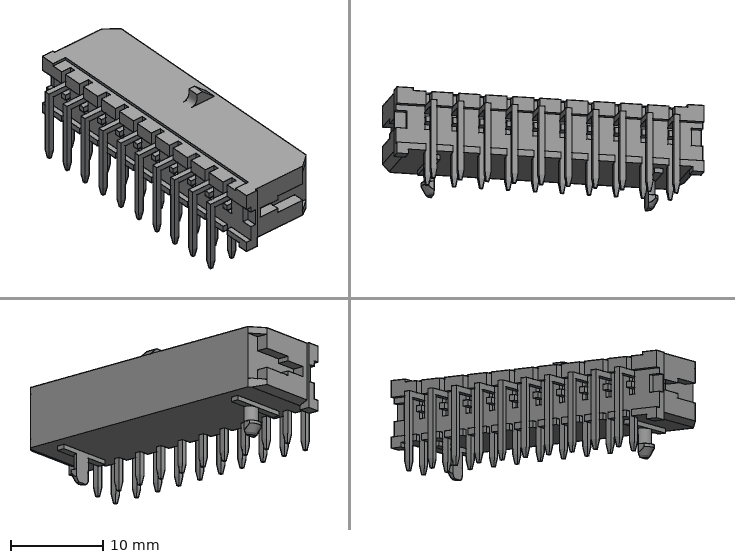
import cadquery as cq


flange_length = 34.15
flange_depth = 1.55
shell_length = 33.6
housing_depth = 9.87
shell_bottom = 0.5
housing_top = 7.45
corner_width = 1.33
corner_depth = 1.65
bottom_chamfer_height = 0.4
bottom_chamfer_width = 1.05

web_face = 0.6
top_bar_bottom = 5.6
bottom_bar_top = 1.23
rear_ledge_length = 30.53
rear_ledge_depth = 1.78
rear_ledge_drop = 0.3

foot_inner_x = 15.8
rail_front = 8.45

recess_depth = corner_width
recess_mid_z = 4.0
mouth_bottom, mouth_top = 1.55, 6.7
wide_slot_height, wide_slot_end = 2.2, 4.7
narrow_slot_height, narrow_slot_end = 1.15, 2.22
window_height = 1.95

pin_columns = 10
pin_span = 27.0
pin_size = 0.65
pin_tip_size = 0.3
pin_taper_top = -2.12
pin_bottom = -3.15
outer_pin_rear = -2.35
stub_bottom = 3.72

latch_width = 1.35
latch_top = 8.8
ramp_foot_y, ramp_top_y = 9.35, 7.72
latch_back_y = 6.9
latch_fillet = 0.75

peg_flat_x = 11.92
peg_axis_x = 11.85
peg_y = 5.33
peg_radius = 1.0
barb_radius = 1.3
barb_nose_radius, barb_nose_z = 0.82, -2.95
barb_tip_radius = 0.6
barb_top = -1.7
barb_taper_top = -2.05

pin_pitch = pin_span / (pin_columns - 1)
pin_positions = [-pin_span / 2 + i * pin_pitch for i in range(pin_columns)]
inner_pin_front = web_face + pin_size


def block(x, y, z):
    """Box between the given (low, high) limits on each axis."""
    size = [high - low for low, high in (x, y, z)]
    return cq.Workplane("XY").box(*size, centered=False).translate((x[0], y[0], z[0]))


def recess_z(height):
    """Height limits of a recess centred on the common recess height."""
    return (recess_mid_z - height / 2, recess_mid_z + height / 2)


def pin_width(x):
    """X limits of a contact centred on x."""
    return (x - pin_size / 2, x + pin_size / 2)


def both_ends(solid):
    """The solid together with its mirror image at the opposite end in X."""
    return solid.union(solid.mirror("YZ"))


def make_housing():
    """Shell with chamfered corners, rear flange, feet and peg rails."""
    half_length = shell_length / 2
    shell = (
        block((-half_length, half_length), (0, housing_depth), (shell_bottom, housing_top))
        .edges("|Y and <Z")
        .chamfer(bottom_chamfer_height, bottom_chamfer_width)
    )
    corner = (
        cq.Workplane("XY")
        .polyline([
            (half_length - corner_width, housing_depth),
            (half_length, housing_depth),
            (half_length, housing_depth - corner_depth),
        ])
        .close()
        .extrude(housing_top)
    )
    half_flange = flange_length / 2
    flange = block((-half_flange, half_flange), (0, flange_depth), (shell_bottom, housing_top))
    foot = block((foot_inner_x, half_flange), (0, flange_depth), (0, shell_bottom))
    rail = block((peg_flat_x, peg_axis_x + peg_radius), (flange_depth, rail_front), (0, shell_bottom))
    return shell.cut(both_ends(corner)).union(flange).union(both_ends(foot.union(rail)))


def make_side_recesses():
    """Stepped keyway in each side wall and a notch in each end of the web."""
    side_x = (shell_length / 2 - recess_depth, flange_length / 2)
    mouth = block(side_x, (housing_depth - corner_depth, housing_depth), (mouth_bottom, mouth_top))
    wide_slot = block(side_x, (wide_slot_end, housing_depth), recess_z(wide_slot_height))
    narrow_slot = block(side_x, (narrow_slot_end, housing_depth), recess_z(narrow_slot_height))
    notch = block((foot_inner_x, flange_length / 2), (0, inner_pin_front), recess_z(window_height))
    return both_ends(mouth.union(wide_slot).union(narrow_slot).union(notch))


def make_rear_recesses():
    """Set-back web, top ledge, and the openings around every contact."""
    half_flange = flange_length / 2
    half_ledge = rear_ledge_length / 2
    ledge_z = (housing_top - rear_ledge_drop, housing_top)
    setback = block((-half_flange, half_flange), (0, web_face), (bottom_bar_top, top_bar_bottom))
    ledge = block((-half_ledge, half_ledge), (0, rear_ledge_depth), ledge_z)
    recesses = setback.union(ledge)
    for x in pin_positions:
        width = pin_width(x)
        recesses = recesses.union(block(width, (0, inner_pin_front), (top_bar_bottom, housing_top)))
        recesses = recesses.union(block(width, (0, web_face), (shell_bottom, bottom_bar_top)))
        recesses = recesses.union(block(width, (0, inner_pin_front), recess_z(window_height)))
    return recesses


def make_leg(x, rear, top):
    """Square vertical leg with a tapered tip."""
    leg = block(pin_width(x), (rear, rear + pin_size), (pin_taper_top, top))
    tip = (
        cq.Workplane("XY", origin=(x, rear + pin_size / 2, pin_taper_top))
        .rect(pin_size, pin_size)
        .workplane(offset=pin_bottom - pin_taper_top)
        .rect(pin_tip_size, pin_tip_size)
        .loft(combine=True)
    )
    return leg.union(tip)


def make_contacts(x):
    """Upper contact bent behind the housing, lower contact set into the web."""
    width = pin_width(x)
    arm = block(width, (outer_pin_rear, inner_pin_front), (top_bar_bottom - pin_size, top_bar_bottom))
    stub = block(width, (0, inner_pin_front), (stub_bottom, stub_bottom + pin_size))
    upper = arm.union(make_leg(x, outer_pin_rear, top_bar_bottom))
    window_floor = recess_z(window_height)[0]
    lower = stub.union(make_leg(x, web_face, window_floor))
    return upper.union(lower)


def make_latch():
    """Ramp with a concave fillet behind its locking face."""
    return (
        cq.Workplane("YZ")
        .moveTo(ramp_foot_y, housing_top)
        .lineTo(ramp_top_y, latch_top)
        .lineTo(latch_back_y, latch_top)
        .lineTo(latch_back_y, housing_top + latch_fillet)
        .radiusArc((latch_back_y - latch_fillet, housing_top), latch_fillet)
        .close()
        .extrude(latch_width / 2, both=True)
    )


def make_peg():
    """Half-round peg with a flat inner side and a barbed, tapered end."""
    profile = (
        cq.Workplane("XZ")
        .polyline([
            (0, shell_bottom),
            (peg_radius, shell_bottom),
            (peg_radius, barb_top),
            (barb_radius, barb_top),
            (barb_radius, barb_taper_top),
            (barb_nose_radius, barb_nose_z),
            (barb_tip_radius, pin_bottom),
            (0, pin_bottom),
        ])
        .close()
        .revolve(360, (0, 0), (0, 1))
    )
    outer_half = block(
        (peg_flat_x - peg_axis_x, barb_radius),
        (-peg_radius, peg_radius),
        (pin_bottom, shell_bottom),
    )
    return profile.intersect(outer_half).translate((peg_axis_x, peg_y, 0))


result = make_housing().cut(make_side_recesses()).cut(make_rear_recesses())
result = result.union(make_latch()).union(both_ends(make_peg()))
for position in pin_positions:
    result = result.union(make_contacts(position))